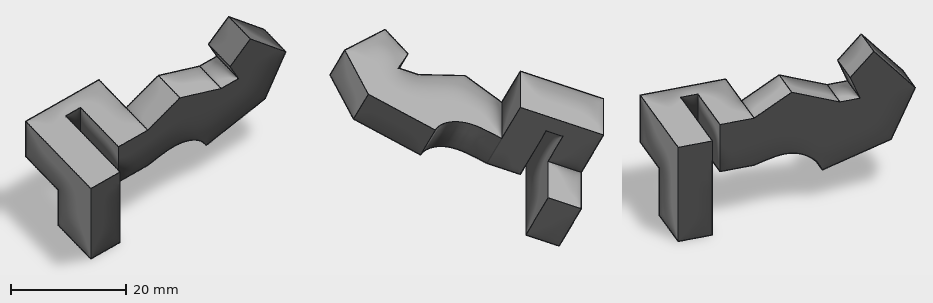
import cadquery as cq

block_width = 19.05
total_length = 45.75
total_height = 27.95

cell = block_width / 6
bar_thickness = 2 * cell
slot_width = cell
web_thickness = cell
block_depth = 2 * bar_thickness + slot_width
bar_height = 3 * cell
leg_width = 3 * cell
block_bottom = 3 * cell
block_top = block_bottom + bar_height
rear_bar_length = 4.5 * cell

hook_thickness = 2 * cell
hook_start_x = rear_bar_length - hook_thickness
hump_peak = (22.85, 22.85)
notch_front_y = 31.75
notch_rear_y = 35.5
lip_corner = (33.65, 23.55)
tip_y = 38.05
heel = (41.25, 9.5)
toe = (28.5, 5.95)
underside_curve = [(25.8, 9.3), (23.85, 10.25), (21.4, 10.6), (19.35, 10.4)]


def box_from(x, y, z, length, depth, height):
    """Box with its lowest corner at (x, y, z)."""
    return cq.Workplane("XY").box(length, depth, height, centered=False).translate((x, y, z))


def make_block():
    """Two parallel bars joined by a web, with a leg below the front bar."""
    rear_bar_y = bar_thickness + slot_width
    front_bar = box_from(0, 0, block_bottom, block_width, bar_thickness, bar_height)
    web = box_from(0, 0, block_bottom, web_thickness, block_depth, bar_height)
    rear_bar = box_from(0, rear_bar_y, block_bottom, rear_bar_length, bar_thickness, bar_height)
    leg = box_from(block_width - leg_width, 0, 0, leg_width, bar_thickness, block_top)
    return front_bar.union(web).union(rear_bar).union(leg)


def make_hook():
    """Humped arm with an upturned end and a curved hollow underneath."""
    return (
        cq.Workplane("YZ", origin=(hook_start_x, 0, 0))
        .moveTo(block_depth, block_top)
        .lineTo(*hump_peak)
        .lineTo(notch_front_y, block_top)
        .lineTo(notch_rear_y, block_top)
        .lineTo(*lip_corner)
        .lineTo(tip_y, total_height)
        .lineTo(total_length, block_top)
        .lineTo(*heel)
        .lineTo(*toe)
        .spline(underside_curve + [(block_depth, block_bottom)], includeCurrent=True)
        .close()
        .extrude(hook_thickness)
    )


result = make_block().union(make_hook())